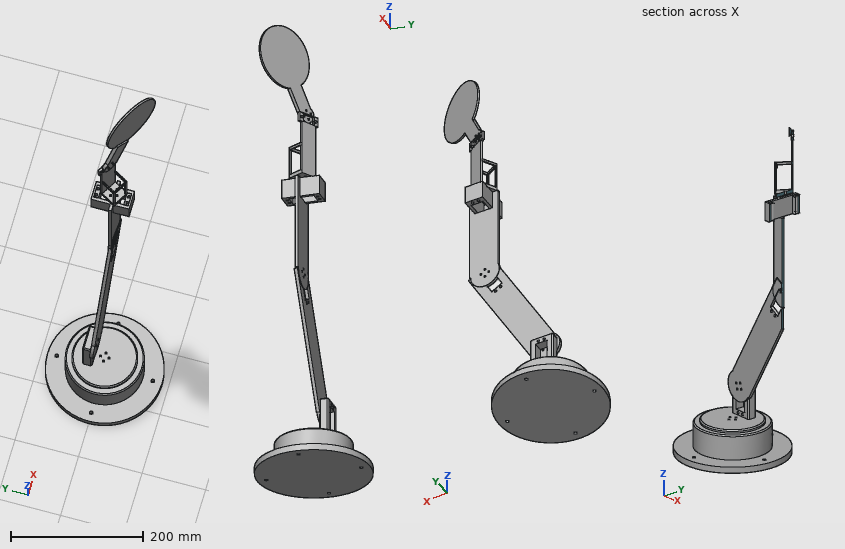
import cadquery as cq
import math

flange_diameter = 180.0
flange_thickness = 10.0
flange_hole_diameter = 5.0
flange_hole_circle = 151.0
housing_diameter = 120.0
housing_top = 50.0
housing_chamfer = 2.0

turntable_diameter = 100.0
turntable_thickness = 5.0
turntable_chamfer = 2.0
bracket_width = 40.0
bracket_height = 60.0
bracket_front = 15.0
bracket_depth = 15.0
bracket_chamfer = 2.0

servo_window_width = 20.0
servo_window_length = 40.0
servo_screw_spacing = 48.5
servo_screw_pitch = 10.0
servo_screw_diameter = 4.0
servo_shaft_offset = 21.0

horn_screw_radius = 7.0
horn_screw_diameter = 3.0

arm_width = 50.0
arm_end_radius = 25.0
arm_side_offset = 2.0
lower_arm_tilt = 30
lower_arm_front = 11.5
lower_arm_thickness = 5.5
lower_arm_joint_spacing = 210.0
lower_arm_overhang = 11.5
shoulder_height = 104.0
upper_arm_front = 13.0
upper_arm_thickness = 5.0
upper_arm_top = 437.0
mount_width = 30.5
mount_depth = 60.0
mount_height = 30.5
mount_front = -12.0
mount_seat_width = 20.0
mount_seat_length = 54.0
mount_seat_depth = 2.0

wrist_turn = 30
wrist_center_y = 16.0
wrist_bottom = 443.0
cage_width = 28.0
cage_depth = 30.0
cage_height = 51.0
cage_floor = 6.0
cage_rail = 4.0
cage_wall = 2.0
back_wall = 4.0
cage_post = 3.5
small_mount_bottom = 528.0
small_mount_height = 15.0
small_mount_width = 38.0
small_window_width = 22.0
small_window_height = 13.5
small_screw_spacing = 28.5
small_screw_diameter = 4.0

magnifier_tilt = 30
magnifier_pivot_height = 543.5
handle_width = 25.0
handle_length = 49.0
handle_thickness = 6.0
handle_sink = 2.0
handle_side_offset = 2.0
disc_diameter = 100.0
disc_thickness = 3.5
disc_center_distance = 94.5

turntable_top = housing_top + turntable_thickness
lower_tilt = math.radians(lower_arm_tilt)
elbow_x = lower_arm_joint_spacing * math.sin(lower_tilt)
elbow_z = shoulder_height + lower_arm_joint_spacing * math.cos(lower_tilt)
wrist_x = elbow_x + arm_side_offset
turn = math.radians(wrist_turn)
wrist_right = cq.Vector(math.cos(turn), -math.sin(turn), 0)
wrist_forward = cq.Vector(-math.sin(turn), -math.cos(turn), 0)
back_inner_face = back_wall - cage_depth / 2


def upright_plane(origin, right, forward, tilt):
    """Plane facing forward whose local Y axis leans by tilt degrees from vertical towards right."""
    lean = math.radians(tilt)
    x_dir = right * math.cos(lean) + cq.Vector(0, 0, -math.sin(lean))
    return cq.Workplane(cq.Plane(origin=origin, xDir=x_dir.toTuple(), normal=forward.toTuple()))


def arm_plane(x, y, z, tilt):
    return upright_plane((x, y, z), cq.Vector(1, 0, 0), cq.Vector(0, -1, 0), tilt)


def wrist_plane(forward_shift, z, tilt=0):
    spot = cq.Vector(wrist_x, wrist_center_y, z) + wrist_forward * forward_shift
    return upright_plane(spot.toTuple(), wrist_right, wrist_forward, tilt)


def horn_screws(plane, depth):
    """Four screw holes in a cross around the plane origin."""
    return plane.polarArray(horn_screw_radius, 0, 360, 4).circle(horn_screw_diameter / 2).extrude(-depth)


def large_servo_cut(plane, center, depth):
    """Window and four screw holes, long side along the local Y axis."""
    window = plane.center(0, center).rect(servo_window_width, servo_window_length).extrude(-depth)
    screws = (
        plane.center(0, center)
        .rect(servo_screw_pitch, servo_screw_spacing, forConstruction=True)
        .vertices()
        .circle(servo_screw_diameter / 2)
        .extrude(-depth)
    )
    return window.union(screws)


def arm_plate(plane, length, thickness):
    """Plate along local Y with a round end about the origin, which lies beside its centre line."""
    strip = plane.center(arm_side_offset, length / 2).rect(arm_width, length).extrude(-thickness)
    return strip.union(plane.circle(arm_end_radius).extrude(-thickness))


def make_base():
    flange = (
        cq.Workplane("XY")
        .circle(flange_diameter / 2)
        .extrude(flange_thickness)
        .faces(">Z")
        .workplane()
        .polarArray(flange_hole_circle / 2, 0, 360, 4)
        .hole(flange_hole_diameter)
    )
    housing = (
        cq.Workplane("XY")
        .circle(housing_diameter / 2)
        .extrude(housing_top)
        .faces(">Z")
        .chamfer(housing_chamfer)
    )
    return flange.union(housing)


def bracket_block():
    return (
        cq.Workplane("XY", origin=(0, bracket_front + bracket_depth / 2, turntable_top))
        .rect(bracket_width, bracket_depth)
        .extrude(bracket_height)
        .edges("|Z or >Z")
        .chamfer(bracket_chamfer)
    )


def make_turntable():
    disc = (
        cq.Workplane("XY", origin=(0, 0, housing_top))
        .circle(turntable_diameter / 2)
        .extrude(turntable_thickness)
        .faces(">Z")
        .chamfer(turntable_chamfer)
    )
    disc = disc.cut(horn_screws(cq.Workplane("XY", origin=(0, 0, turntable_top)), turntable_thickness))
    servo_plane = arm_plane(0, bracket_front, shoulder_height, 0)
    bracket = bracket_block().cut(large_servo_cut(servo_plane, -servo_shaft_offset, bracket_depth))
    return disc.union(bracket)


def upper_arm_plate():
    plane = arm_plane(elbow_x, upper_arm_front, elbow_z, 0)
    return arm_plate(plane, upper_arm_top - elbow_z, upper_arm_thickness)


def make_lower_arm():
    shoulder = arm_plane(0, lower_arm_front, shoulder_height, lower_arm_tilt)
    length = lower_arm_joint_spacing + lower_arm_overhang
    arm = arm_plate(shoulder, length, lower_arm_thickness)
    servo_center = lower_arm_joint_spacing - servo_shaft_offset
    arm = arm.cut(large_servo_cut(shoulder, servo_center, lower_arm_thickness))
    arm = arm.cut(horn_screws(shoulder, lower_arm_thickness))
    return arm.cut(bracket_block()).cut(upper_arm_plate())


def make_upper_arm():
    mount_plane = cq.Workplane("XY", origin=(wrist_x, mount_front + mount_depth / 2, upper_arm_top))
    mount = mount_plane.rect(mount_width, mount_depth).extrude(-mount_height)
    elbow = arm_plane(elbow_x, upper_arm_front, elbow_z, 0)
    arm = upper_arm_plate().union(mount)
    arm = arm.cut(horn_screws(elbow, upper_arm_thickness))
    arm = arm.cut(mount_plane.rect(mount_seat_width, mount_seat_length).extrude(-mount_seat_depth))
    return arm.cut(large_servo_cut(mount_plane, 0, mount_height))


def small_mount_plate():
    middle = small_mount_bottom + small_mount_height / 2
    plane = wrist_plane(back_inner_face, middle)
    return plane.rect(small_mount_width, small_mount_height).extrude(-back_wall)


def make_wrist():
    half = cage_depth / 2
    cage_inside = cage_width - 2 * cage_wall
    floor_top = wrist_bottom + cage_floor
    cage_top = wrist_bottom + cage_height
    window_height = cage_height - cage_floor - cage_rail
    window_middle = floor_top + window_height / 2
    floor_plane = cq.Plane(
        origin=(wrist_x, wrist_center_y, wrist_bottom), xDir=wrist_right.toTuple(), normal=(0, 0, 1)
    )
    wrist = cq.Workplane(floor_plane).rect(cage_width, cage_depth).extrude(cage_height)
    cavity_depth = cage_depth - back_wall - cage_wall
    cavity = wrist_plane(half - cage_wall, (floor_top + cage_top) / 2)
    wrist = wrist.cut(cavity.rect(cage_inside, cage_top - floor_top).extrude(-cavity_depth))
    front = wrist_plane(half, window_middle)
    wrist = wrist.cut(front.rect(cage_width - 2 * cage_post, window_height).extrude(-cage_wall))
    side = wrist_plane(half - cage_wall, window_middle)
    wrist = wrist.cut(side.rect(cage_width, window_height).extrude(-cavity_depth))
    wrist = wrist.cut(horn_screws(cq.Workplane(floor_plane), -cage_floor))
    wall_height = small_mount_bottom - wrist_bottom
    wall = wrist_plane(back_inner_face, wrist_bottom + wall_height / 2)
    wrist = wrist.union(wall.rect(cage_width, wall_height).extrude(-back_wall)).union(small_mount_plate())
    mount = wrist_plane(back_inner_face, small_mount_bottom + small_mount_height / 2)
    wrist = wrist.cut(mount.rect(small_window_width, small_window_height).extrude(-back_wall))
    screws = mount.pushPoints([(-small_screw_spacing / 2, 0), (small_screw_spacing / 2, 0)])
    return wrist.cut(screws.circle(small_screw_diameter / 2).extrude(-back_wall))


def make_magnifier():
    handle_front = back_inner_face + handle_thickness - handle_sink
    pivot = wrist_plane(handle_front, magnifier_pivot_height, magnifier_tilt)
    handle = pivot.circle(handle_width / 2).extrude(-handle_thickness)
    strip = pivot.center(handle_side_offset, handle_length / 2).rect(handle_width, handle_length)
    handle = handle.union(strip.extrude(-handle_thickness))
    handle = handle.cut(horn_screws(pivot, handle_thickness))
    lens = pivot.workplane(offset=-handle_thickness).center(0, disc_center_distance)
    handle = handle.union(lens.circle(disc_diameter / 2).extrude(disc_thickness))
    return handle.cut(small_mount_plate())


base = make_base()
turntable = make_turntable()
lower_arm = make_lower_arm()
upper_arm = make_upper_arm()
wrist = make_wrist()
magnifier = make_magnifier()

result = cq.Compound.makeCompound(
    [base.val(), turntable.val(), lower_arm.val(), upper_arm.val(), wrist.val(), magnifier.val()]
)